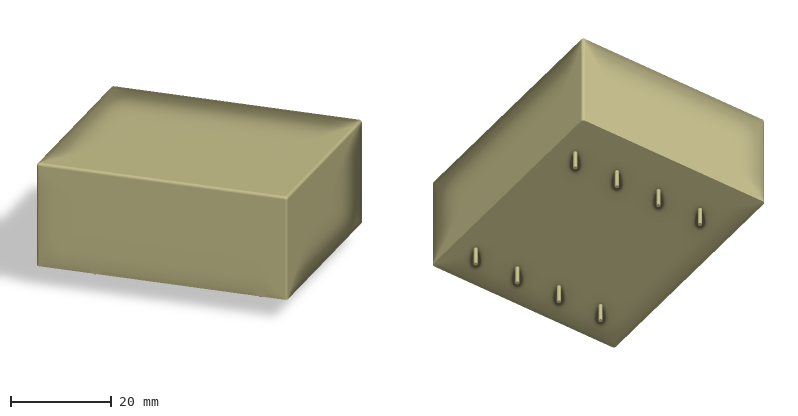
import cadquery as cq

length = 53.0
width = 44.0
total_height = 26.0

pin_length = 4.05
pin_diameter = 0.85
pin_row_spacing = 35.0
pin_pitch = 10.0
pins_per_row = 4
first_pin_y = -12.45

housing_height = total_height - pin_length
edge_radius = 0.6


def make_housing():
    """Plain block with rounded top and upright edges and a sharp bottom rim."""
    block = cq.Workplane("XY").box(length, width, housing_height, centered=(True, True, False))
    return block.edges("|Z or >Z").fillet(edge_radius)


def make_pin(x, y):
    """Round pin hanging from the bottom face of the housing."""
    return cq.Workplane("XY").center(x, y).circle(pin_diameter / 2).extrude(-pin_length)


housing = make_housing()

pins = []
for row_x in (-pin_row_spacing / 2, pin_row_spacing / 2):
    for index in range(pins_per_row):
        pins.append(make_pin(row_x, first_pin_y + index * pin_pitch))

result = cq.Compound.makeCompound([housing.val(), *[pin.val() for pin in pins]])